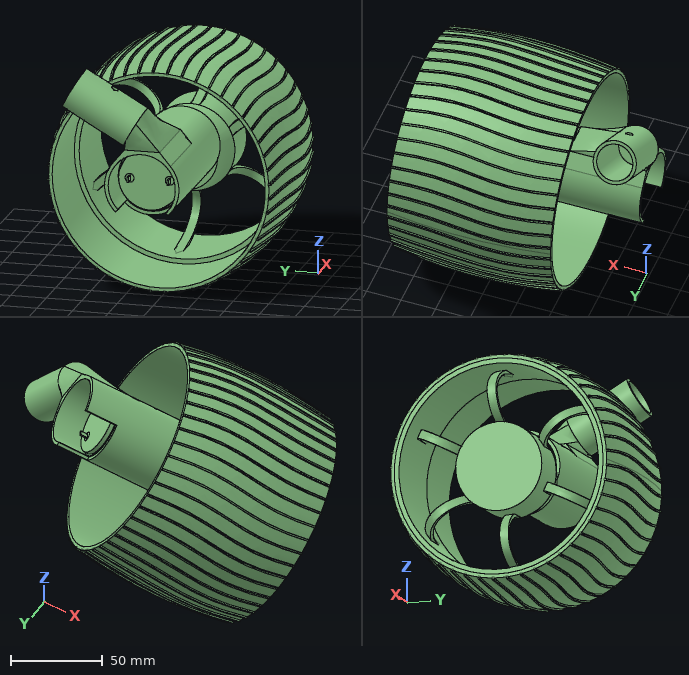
import cadquery as cq
import math

overall_length = 137.7

wheel_width = 95.0
tire_bore_radius = 59.9
tire_edge_radius = 62.0
tire_crown_radius = 65.8
rib_count = 48
rib_first_angle = 3.0
rib_width = 1.0
rib_height = 1.0
rib_root = 0.7
rib_wave_height = 1.8
rib_wave_points = 9

rim_bore_radius = 114.3 / 2
rim_start = wheel_width / 2
hub_radius = 49.5 / 2
hub_nose_radius = 19.4
hub_start = 52.3
hub_flare_length = 17.2
hub_flare_sag = 0.5
spoke_count = 6
spoke_first_angle = 5.0
spoke_width = 5.1
spoke_thickness = 2.0
spoke_bulge = 1.4
spoke_rim_foot = 56.5
arch_steps = 12
spoke_crest = wheel_width + spoke_bulge
hub_flare_end = hub_start + hub_flare_length

housing_radius = 41.9 / 2
housing_bore_radius = 37.7 / 2
housing_start = -36.4
motor_axis_z = 7.3
saddle_length = 45.5
saddle_width = 20.0
saddle_top_z = 28.1
cutout_end = -16.8
tube_radius = 24.7 / 2
tube_bore_radius = 20.7 / 2
tube_length = 39.8
tube_tilt = 30.0
tube_base = cq.Vector(spoke_crest - overall_length + tube_radius, 5.2, 39.4)
screw_hole_radius = 4.0 / 2
screw_hole_distance = 20.7

motor_radius = 36.8 / 2
motor_boss_radius = 34.8 / 2
motor_start = -19.4
terminal_radius = 5.0 / 2
terminal_offset = 11.3
terminal_depth = 2.8
tab_thickness = 0.8
tab_width = 3.0
tab_length = 4.1


def cylinder(radius, start, end, axis_z=0.0):
    """Cylinder along X from start to end."""
    return cq.Workplane("YZ", origin=(start, 0, axis_z)).circle(radius).extrude(end - start)


def barrel(inner_offset, outer_offset):
    """Revolved shell between two offsets of the barrel-shaped tread surface."""
    middle = wheel_width / 2
    inner_edge = tire_edge_radius + inner_offset
    outer_edge = tire_edge_radius + outer_offset
    return (
        cq.Workplane("XY")
        .moveTo(0, inner_edge)
        .lineTo(0, outer_edge)
        .threePointArc((middle, tire_crown_radius + outer_offset), (wheel_width, outer_edge))
        .lineTo(wheel_width, inner_edge)
        .threePointArc((middle, tire_crown_radius + inner_offset), (0, inner_edge))
        .close()
        .revolve(360, (0, 0, 0), (1, 0, 0))
    )


def make_rib():
    """One tread rib: a full sine wave across the tread, on the -Y side."""
    step = wheel_width / (rib_wave_points - 1)
    wave = [
        (i * step, rib_wave_height * math.sin(2 * math.pi * i / (rib_wave_points - 1)))
        for i in range(rib_wave_points)
    ]
    upper = [(x, z + rib_width / 2) for x, z in wave]
    lower = [(x, z - rib_width / 2) for x, z in reversed(wave)]
    strip = (
        cq.Workplane("XZ")
        .moveTo(*upper[0])
        .spline(upper[1:], includeCurrent=True)
        .lineTo(*lower[0])
        .spline(lower[1:], includeCurrent=True)
        .close()
        .extrude(tire_crown_radius + 2 * rib_height)
    )
    return strip.intersect(barrel(-rib_root, rib_height))


def make_tire():
    """Barrel-shaped tire with a straight bore and ribs all round."""
    middle = wheel_width / 2
    body = (
        cq.Workplane("XY")
        .moveTo(0, tire_bore_radius)
        .lineTo(0, tire_edge_radius)
        .threePointArc((middle, tire_crown_radius), (wheel_width, tire_edge_radius))
        .lineTo(wheel_width, tire_bore_radius)
        .close()
        .revolve(360, (0, 0, 0), (1, 0, 0))
    )
    rib = make_rib().val()
    ribs = []
    for i in range(rib_count):
        angle = rib_first_angle + i * 360 / rib_count
        ribs.append(rib.rotate(cq.Vector(0, 0, 0), cq.Vector(1, 0, 0), -angle))
    return body.val().fuse(*ribs)


def arch(offset):
    """Points (X, radius) from the hub to the rim along two quarter ellipses that meet at the crest."""
    crest_radius = (hub_radius + rim_bore_radius) / 2
    reach = (rim_bore_radius - hub_radius) / 2 + offset
    crest_x = spoke_crest - spoke_thickness + offset
    points = []
    for i in range(arch_steps + 1):
        angle = math.pi * i / arch_steps
        foot_x = hub_flare_end if angle < math.pi / 2 else spoke_rim_foot
        x = foot_x + (crest_x - foot_x) * math.sin(angle)
        points.append((x, crest_radius - reach * math.cos(angle)))
    return points


def make_spoke():
    """One arched spoke along +Z, its crest standing out beyond the +X face of the wheel."""
    inner = arch(0)
    outer = arch(spoke_thickness)[::-1]
    along_axis = [(1, 0), (-1, 0)]
    return (
        cq.Workplane("XZ", origin=(0, spoke_width / 2, 0))
        .moveTo(*inner[0])
        .spline(inner[1:], tangents=along_axis, includeCurrent=True)
        .lineTo(*outer[0])
        .spline(outer[1:], tangents=along_axis, includeCurrent=True)
        .close()
        .extrude(spoke_width)
    )


def make_hub():
    """Hub with a concave flare from its nose up to its full radius."""
    flare_middle = (hub_start + hub_flare_length / 2, (hub_nose_radius + hub_radius) / 2 - hub_flare_sag)
    return (
        cq.Workplane("XY")
        .moveTo(hub_start, 0)
        .lineTo(hub_start, hub_nose_radius)
        .threePointArc(flare_middle, (hub_flare_end, hub_radius))
        .lineTo(wheel_width, hub_radius)
        .lineTo(wheel_width, 0)
        .close()
        .revolve(360, (0, 0, 0), (1, 0, 0))
    )


def make_rim():
    """Ring inside the tire, joined to the hub by the spokes."""
    rim = cylinder(tire_bore_radius, rim_start, wheel_width).cut(
        cylinder(rim_bore_radius, rim_start, wheel_width)
    )
    rim = rim.union(make_hub())
    spoke = make_spoke()
    for i in range(spoke_count):
        angle = spoke_first_angle + i * 360 / spoke_count
        rim = rim.union(spoke.rotate((0, 0, 0), (1, 0, 0), angle))
    return rim


def tube_plane(distance=0.0):
    """Plane across the socket tube at a distance from its base, its normal along the tube."""
    tilt = math.radians(tube_tilt)
    along = cq.Vector(0, math.cos(tilt), math.sin(tilt))
    return cq.Plane(origin=tube_base + along * distance, xDir=(1, 0, 0), normal=along)


def make_saddle():
    """Block whose sides run tangent into the motor barrel."""
    rise = saddle_top_z - motor_axis_z
    half_width = saddle_width / 2
    corner_distance = math.hypot(half_width, rise)
    tangent_angle = math.atan2(rise, half_width) - math.acos(housing_radius / corner_distance)
    tangent_y = housing_radius * math.cos(tangent_angle)
    tangent_z = motor_axis_z + housing_radius * math.sin(tangent_angle)
    return (
        cq.Workplane("YZ", origin=(housing_start, 0, 0))
        .moveTo(0, motor_axis_z)
        .lineTo(tangent_y, tangent_z)
        .lineTo(half_width, saddle_top_z)
        .lineTo(-half_width, saddle_top_z)
        .lineTo(-tangent_y, tangent_z)
        .close()
        .extrude(saddle_length)
    )


def make_neck():
    """Transition from the rectangular saddle top to the round tube base.

    The round outline is divided in proportion to the sides of the rectangle, one arc for each side.
    """
    rectangle = (
        cq.Workplane("XY", origin=(housing_start + saddle_length / 2, 0, saddle_top_z))
        .rect(saddle_length, saddle_width)
        .wires()
        .val()
    )
    corner_angle = math.pi / 2 * saddle_width / (saddle_width + saddle_length)
    corner_x = tube_radius * math.cos(corner_angle)
    corner_y = tube_radius * math.sin(corner_angle)
    circle = (
        cq.Workplane(tube_plane())
        .moveTo(-corner_x, -corner_y)
        .threePointArc((0, -tube_radius), (corner_x, -corner_y))
        .threePointArc((tube_radius, 0), (corner_x, corner_y))
        .threePointArc((0, tube_radius), (-corner_x, corner_y))
        .threePointArc((-tube_radius, 0), (-corner_x, -corner_y))
        .wire()
        .val()
    )
    return cq.Workplane(cq.Solid.makeLoft([rectangle, circle], True))


def make_housing():
    """Motor barrel with a wedge cut out below its open end, carrying the saddle, neck and tube."""
    tube = cq.Workplane(tube_plane()).circle(tube_radius).extrude(tube_length)
    tube_bore = cq.Workplane(tube_plane()).circle(tube_bore_radius).extrude(tube_length)
    hole_plane = tube_plane(screw_hole_distance)
    screw_hole = (
        cq.Workplane(cq.Plane(origin=hole_plane.origin, xDir=(1, 0, 0), normal=hole_plane.yDir * -1))
        .circle(screw_hole_radius)
        .extrude(2 * tube_radius)
    )
    cutout = (
        cq.Workplane("YZ", origin=(housing_start, 0, motor_axis_z))
        .lineTo(housing_radius, -housing_radius)
        .lineTo(-housing_radius, -housing_radius)
        .close()
        .extrude(cutout_end - housing_start)
    )
    return (
        cylinder(housing_radius, housing_start, hub_start, motor_axis_z)
        .union(make_saddle())
        .cut(cylinder(housing_bore_radius, housing_start, hub_start, motor_axis_z))
        .cut(cutout)
        .union(make_neck())
        .union(tube)
        .cut(tube_bore)
        .cut(screw_hole)
    )


def terminal_disc(side):
    """Round base of a terminal, flush with the motor face."""
    return (
        cq.Workplane("YZ", origin=(motor_start, side * terminal_offset, motor_axis_z))
        .circle(terminal_radius)
        .extrude(terminal_depth)
    )


def make_motor():
    """Stepped motor body with a recess for each terminal."""
    motor = cylinder(motor_boss_radius, motor_start, cutout_end, motor_axis_z).union(
        cylinder(motor_radius, cutout_end, hub_start, motor_axis_z)
    )
    for side in (-1, 1):
        motor = motor.cut(terminal_disc(side))
    return motor


def make_terminal(side):
    """Terminal: a round base with a flat tab standing out of it."""
    tab = (
        cq.Workplane("YZ", origin=(motor_start, side * terminal_offset, motor_axis_z))
        .rect(tab_thickness, tab_width)
        .extrude(-tab_length)
    )
    return terminal_disc(side).union(tab)


tire = make_tire()
rim = make_rim()
housing = make_housing()
motor = make_motor()
terminals = [make_terminal(side).val() for side in (-1, 1)]

result = cq.Compound.makeCompound(
    [*tire.Solids(), rim.val(), housing.val(), motor.val(), *terminals]
)